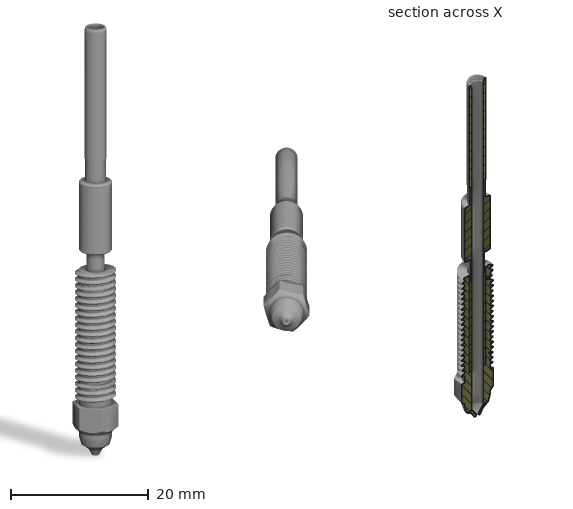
import cadquery as cq
import math

total_length = 65.4
hex_across_flats = 6.0
hex_corner_radius = 0.2

bore_diameter = 2.0
neck_diameter = 2.7
stem_diameter = 3.0
body_diameter = 4.85

tip_top = 1.7
nose_top = 3.1
band_top = 3.65
hex_top = 7.85
thread_bottom = 8.75
thread_top = 28.3
collar_bottom = 31.2
collar_top = 41.9
tube_bottom = 45.4

tip_end_diameter = 1.1
tip_waist_diameter = 2.1
tip_waist_height = 1.0
tip_waist_radius = 0.65
tip_top_diameter = 4.2
orifice_diameter = 0.4
orifice_length = 0.4

nose_bulge = 0.05
hex_cone_half_angle = 48
socket_depth = 18.95
foot_recess = 1.0

thread_diameter = 6.0
thread_rise = 21.0
thread_turns = 21
thread_pitch = thread_rise / thread_turns
thread_crest = thread_pitch / 8
thread_base = thread_pitch * 3 / 4
thread_overlap = 0.05
thread_start = 8.1

collar_chamfer = 0.2
tube_diameter = 3.2
rim_chamfer_width = 0.1
rim_chamfer_height = 0.4
mouth_diameter = 2.6
mouth_floor_diameter = 2.3
mouth_depth = 0.8

foot_bottom = thread_top - socket_depth
foot_top = thread_top - foot_recess


def cylinder(diameter, bottom, top):
    """Solid cylinder on the Z axis between two heights."""
    return cq.Workplane("XY").workplane(offset=bottom).circle(diameter / 2).extrude(top - bottom)


def cone(bottom_diameter, top_diameter, bottom, top):
    """Solid truncated cone on the Z axis between two heights."""
    return cq.Workplane(cq.Solid.makeCone(
        bottom_diameter / 2, top_diameter / 2, top - bottom, pnt=cq.Vector(0, 0, bottom)))


def make_tip():
    """Tip of two cones blended at the waist; its funnel narrows from the bore to the orifice."""
    outside = cone(tip_end_diameter, tip_waist_diameter, 0, tip_waist_height).union(
        cone(tip_waist_diameter, tip_top_diameter, tip_waist_height, tip_top))
    waist_edge = cq.selectors.NearestToPointSelector((0, 0, tip_waist_height))
    outside = outside.edges("%CIRCLE").edges(waist_edge).fillet(tip_waist_radius)
    orifice = cylinder(orifice_diameter, 0, orifice_length)
    funnel = cone(orifice_diameter, bore_diameter, orifice_length, tip_top)
    return outside.cut(orifice).cut(funnel)


def make_nose():
    """Rounded nose and short cylindrical band below the hexagon."""
    tip_radius = tip_top_diameter / 2
    body_radius = body_diameter / 2
    middle = ((tip_radius + body_radius) / 2 + nose_bulge, (tip_top + nose_top) / 2)
    return (
        cq.Workplane("XZ")
        .moveTo(0, tip_top)
        .lineTo(tip_radius, tip_top)
        .threePointArc(middle, (body_radius, nose_top))
        .lineTo(body_radius, hex_top)
        .lineTo(0, hex_top)
        .close()
        .revolve(360, (0, 0), (0, 1))
    )


def make_hexagon():
    """Hexagon with rounded corners, trimmed below by a cone."""
    corner_diameter = hex_across_flats / math.cos(math.pi / 6)
    height = hex_top - band_top
    prism = (
        cq.Workplane("XY")
        .workplane(offset=band_top)
        .polygon(6, corner_diameter)
        .extrude(height)
        .edges("|Z")
        .fillet(hex_corner_radius)
    )
    cone_growth = 2 * height * math.tan(math.radians(hex_cone_half_angle))
    return prism.intersect(cone(body_diameter, body_diameter + cone_growth, band_top, hex_top))


def make_thread():
    """Right-handed trapezoidal ridge, cut square at both ends of the thread."""
    base_radius = body_diameter / 2 - thread_overlap
    crest_radius = thread_diameter / 2
    helix = cq.Wire.makeHelix(
        thread_pitch, thread_rise, body_diameter / 2,
        center=cq.Vector(0, 0, thread_start))
    ridge = (
        cq.Workplane("XZ", origin=(0, 0, thread_start))
        .moveTo(base_radius, -thread_base / 2)
        .lineTo(crest_radius, -thread_crest / 2)
        .lineTo(crest_radius, thread_crest / 2)
        .lineTo(base_radius, thread_base / 2)
        .close()
        .sweep(cq.Workplane(helix), isFrenet=True)
    )
    return ridge.intersect(cylinder(2 * thread_diameter, thread_bottom, thread_top))


def make_nozzle_body():
    """Threaded hexagonal body with a socket for the heat break."""
    core = cylinder(body_diameter, hex_top, thread_top)
    socket = cylinder(stem_diameter, foot_bottom, thread_top)
    bore = cylinder(bore_diameter, tip_top, foot_bottom)
    outside = make_nose().union(make_hexagon()).union(core).union(make_thread())
    return outside.cut(socket).cut(bore)


def make_heat_break():
    """Stepped tube with a foot, a thin neck, a chamfered collar and a stem."""
    collar = cylinder(body_diameter, collar_bottom, collar_top).faces("<Z or >Z").chamfer(collar_chamfer)
    return (
        cylinder(stem_diameter, foot_bottom, foot_top)
        .union(cylinder(neck_diameter, foot_top, collar_bottom))
        .union(collar)
        .union(cylinder(stem_diameter, collar_top, tube_bottom))
        .cut(cylinder(bore_diameter, foot_bottom, tube_bottom))
    )


def make_inlet_tube():
    """Long tube with a chamfered rim and a tapered counterbore at its mouth."""
    rim_bottom = total_length - rim_chamfer_height
    rim_diameter = tube_diameter - 2 * rim_chamfer_width
    return (
        cylinder(tube_diameter, tube_bottom, rim_bottom)
        .union(cone(tube_diameter, rim_diameter, rim_bottom, total_length))
        .cut(cylinder(bore_diameter, tube_bottom, total_length))
        .cut(cone(mouth_floor_diameter, mouth_diameter, total_length - mouth_depth, total_length))
    )


tip = make_tip()
nozzle_body = make_nozzle_body()
heat_break = make_heat_break()
inlet_tube = make_inlet_tube()

result = cq.Compound.makeCompound([
    tip.val(),
    nozzle_body.val(),
    heat_break.val(),
    inlet_tube.val(),
])